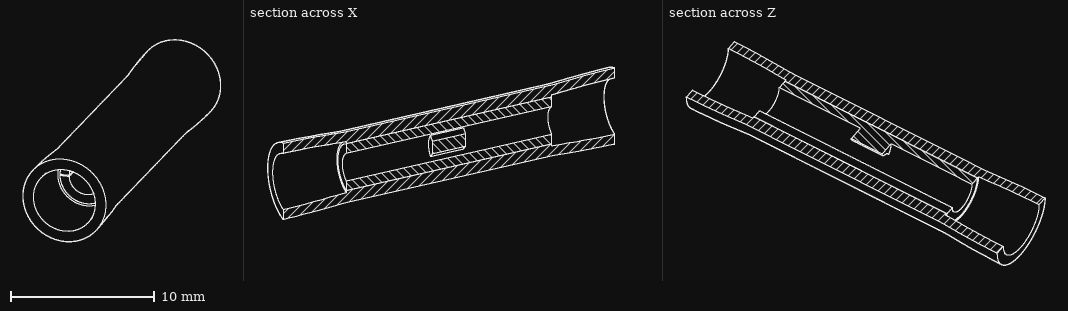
import cadquery as cq
import math

LENGTH = 26.0
MOUTH_RADIUS = 3.055
WAIST_RADIUS = 2.85
FLARE_LENGTH = 4.55
FLARE_BLEND = 0.4
END_WALL = 0.78

BARREL_RADIUS = 1.92
BARREL_BORE_RADIUS = 1.25
SEAM_WIDTH = 0.08

STOP_LENGTH = 2.6
STOP_TIP_X = 0.1
STOP_TIP_RADIUS = 0.36
STOP_TIP_ANGLE = 75.0
STOP_FLANK_MIDDLE = (0.7, 0.55)
STOP_ROOT_X = 0.94

BELL_LENGTH = FLARE_LENGTH + FLARE_BLEND
BARREL_LENGTH = LENGTH - 2 * BELL_LENGTH
MIDDLE_Y = LENGTH / 2

FLARE_SLOPE = 2 * math.atan((MOUTH_RADIUS - WAIST_RADIUS) / BELL_LENGTH)


def bell_points(wall):
    """Middle and end points of the two bell arcs, mouth to waist, lying a wall inside the outside."""
    half_slope = FLARE_SLOPE / 2
    flare_radius = FLARE_LENGTH / math.sin(FLARE_SLOPE)
    blend_radius = FLARE_BLEND / math.sin(FLARE_SLOPE)
    mouth = MOUTH_RADIUS - wall
    waist = WAIST_RADIUS - wall
    return [
        (mouth, 0),
        (mouth - flare_radius * (1 - math.cos(half_slope)), flare_radius * math.sin(half_slope)),
        (mouth - flare_radius * (1 - math.cos(FLARE_SLOPE)), FLARE_LENGTH),
        (waist + blend_radius * (1 - math.cos(half_slope)),
         BELL_LENGTH - blend_radius * math.sin(half_slope)),
        (waist, BELL_LENGTH),
    ]


def make_sleeve():
    """Half of the sleeve revolved about Y, then mirrored about its middle."""
    outer = bell_points(0)
    inner = bell_points(END_WALL)
    profile = (
        cq.Workplane(cq.Plane((0, 0, 0), (-1, 0, 0), (0, 0, -1)))
        .moveTo(*outer[0])
        .threePointArc(outer[1], outer[2])
        .threePointArc(outer[3], outer[4])
        .lineTo(WAIST_RADIUS, MIDDLE_Y)
        .lineTo(BARREL_RADIUS, MIDDLE_Y)
        .lineTo(BARREL_RADIUS, BELL_LENGTH)
        .lineTo(*inner[4])
        .threePointArc(inner[3], inner[2])
        .threePointArc(inner[1], inner[0])
        .close()
    )
    half = profile.revolve(360, (0, 0, 0), (0, 1, 0))
    other_half = half.mirror("XZ", (0, MIDDLE_Y, 0))
    return half.union(other_half).solids()


def cross_section(start_y):
    """Workplane facing +Y at start_y, with local x along X and local y along -Z."""
    return cq.Workplane(cq.Plane((0, start_y, 0), (1, 0, 0), (0, 1, 0)))


def make_stop():
    """Nose-shaped rib that stands from the +X side of the bore at mid length."""
    tip_angle = math.radians(STOP_TIP_ANGLE)
    tip_end_x = STOP_TIP_X + STOP_TIP_RADIUS * (1 - math.cos(tip_angle))
    tip_end_z = STOP_TIP_RADIUS * math.sin(tip_angle)
    root_z = math.sqrt(BARREL_BORE_RADIUS**2 - STOP_ROOT_X**2)
    flank_x, flank_z = STOP_FLANK_MIDDLE
    wall_middle_radius = (BARREL_BORE_RADIUS + BARREL_RADIUS) / 2
    wall_scale = wall_middle_radius / BARREL_BORE_RADIUS
    buried_x = STOP_ROOT_X * wall_scale
    buried_z = root_z * wall_scale
    return (
        cross_section(MIDDLE_Y - STOP_LENGTH / 2)
        .moveTo(STOP_ROOT_X, root_z)
        .threePointArc((flank_x, flank_z), (tip_end_x, tip_end_z))
        .threePointArc((STOP_TIP_X, 0), (tip_end_x, -tip_end_z))
        .threePointArc((flank_x, -flank_z), (STOP_ROOT_X, -root_z))
        .lineTo(buried_x, -buried_z)
        .threePointArc((wall_middle_radius, 0), (buried_x, buried_z))
        .close()
        .extrude(STOP_LENGTH)
    )


def make_barrel():
    """Tube with a lengthwise seam on its -X side and the wire stop opposite."""
    tube = (
        cross_section(BELL_LENGTH)
        .circle(BARREL_RADIUS)
        .circle(BARREL_BORE_RADIUS)
        .extrude(BARREL_LENGTH)
    )
    seam = (
        cross_section(BELL_LENGTH)
        .center(-BARREL_RADIUS / 2, 0)
        .rect(BARREL_RADIUS, SEAM_WIDTH)
        .extrude(BARREL_LENGTH)
    )
    return tube.cut(seam).union(make_stop()).solids()


sleeve = make_sleeve()
barrel = make_barrel()

result = cq.Compound.makeCompound([sleeve.val(), barrel.val()])